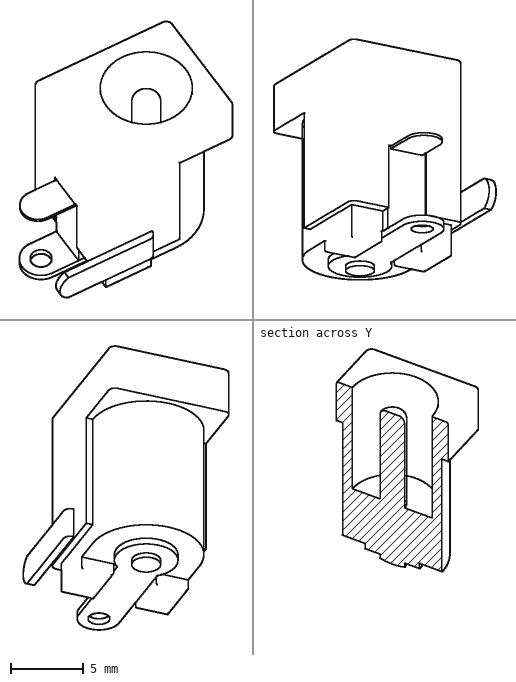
import cadquery as cq
import math


housing_width = 8.99
back_y = housing_width / 2
front_y = -6.5
top_z = 14.45
flange_z = top_z - 3.5
shell_z = top_z - 12.0
base_z = top_z - 13.5
barrel_radius = 4.0
corner_radius = 0.5
top_edge_radius = 0.2
socket_radius = 3.19
socket_depth = 9.0

foot_z = 0.1
foot_front_y = -5.67
foot_back_y = -2.02
foot_gap = 3.16
foot_edge_radius = 0.17

pin_radius = 1.0
pin_top_z = top_z - 1.0
pin_tip_radius = 0.5
rivet_rim_z = 0.15

tip_y = -10.0
plate_width = 3.02
plate_thickness = 0.46
plate_disk_radius = 2.2
plate_hole_radius = 0.75
strip_width = 2.99
strip_front_y = -6.37
strip_top_z = top_z - 7.4
tab_width = 2.52
tab_thickness = 0.2
blade_thickness = 0.57
blade_back_y = -2.23
blade_bottom_z = shell_z + 0.16
blade_height = 2.22
blade_tip_length = 0.7
blade_bend_radius = 0.51


def block(x_min, x_max, y_min, y_max, z_min, z_max):
    """Box given by its limits along each axis."""
    size = (x_max - x_min, y_max - y_min, z_max - z_min)
    return cq.Workplane("XY").box(*size, centered=False).translate((x_min, y_min, z_min))


def centered_block(width, y_min, y_max, z_min, z_max):
    """Box placed symmetrically about X = 0."""
    return block(-width / 2, width / 2, y_min, y_max, z_min, z_max)


def cylinder(radius, z_min, z_max):
    """Upright cylinder on the jack axis."""
    return cq.Workplane("XY").workplane(offset=z_min).circle(radius).extrude(z_max - z_min)


def round_ended_tongue(width, y_start, z_min, thickness):
    """Flat tongue running forward to a half-round tip."""
    half = width / 2
    return (
        cq.Workplane("XY")
        .workplane(offset=z_min)
        .moveTo(-half, y_start)
        .lineTo(-half, tip_y + half)
        .threePointArc((0, tip_y), (half, tip_y + half))
        .lineTo(half, y_start)
        .close()
        .extrude(thickness)
    )


def make_housing():
    cap = centered_block(housing_width, front_y, back_y, flange_z, top_z)
    shell = centered_block(housing_width, front_y, 0, shell_z, flange_z)
    body = cap.edges("|Z").fillet(corner_radius).faces(">Z").edges().fillet(top_edge_radius)
    body = body.union(shell.edges("|Z and <Y").fillet(corner_radius))
    body = body.union(cylinder(barrel_radius, base_z, flange_z))
    body = body.union(centered_block(2 * barrel_radius, foot_front_y, 0, base_z, shell_z))
    socket = cylinder(socket_radius, top_z - socket_depth, top_z)
    strip_slot = centered_block(strip_width, front_y, strip_front_y, shell_z, strip_top_z)
    return body.cut(socket).cut(strip_slot)


def make_foot(side):
    inner_x = side * foot_gap / 2
    outer_x = side * barrel_radius
    x_min = min(inner_x, outer_x)
    x_max = max(inner_x, outer_x)
    foot = block(x_min, x_max, foot_front_y, foot_back_y, foot_z, base_z)
    return foot.faces("<Z").edges().fillet(foot_edge_radius)


def make_pin():
    pin = cylinder(pin_radius, top_z - socket_depth, pin_top_z)
    return pin.faces(">Z").edges().fillet(pin_tip_radius)


def make_rivet():
    """Short shank closed by a shallow spherical dome."""
    dome_radius = (pin_radius**2 + rivet_rim_z**2) / (2 * rivet_rim_z)
    middle_x = pin_radius / 2
    middle_z = dome_radius - math.sqrt(dome_radius**2 - middle_x**2)
    return (
        cq.Workplane("XZ")
        .lineTo(0, base_z)
        .lineTo(pin_radius, base_z)
        .lineTo(pin_radius, rivet_rim_z)
        .threePointArc((middle_x, middle_z), (0, 0))
        .close()
        .revolve(360, (0, 0, 0), (0, 1, 0))
    )


def make_bottom_terminal():
    plate_z = base_z - plate_thickness
    plate = round_ended_tongue(plate_width, 0, plate_z, plate_thickness)
    plate = plate.union(cylinder(plate_disk_radius, plate_z, base_z))
    hole = cylinder(plate_hole_radius, plate_z, base_z)
    return plate.cut(hole.translate((0, tip_y + plate_width / 2, 0)))


def make_front_terminal():
    strip = centered_block(strip_width, strip_front_y, foot_front_y, base_z, strip_top_z)
    tab = round_ended_tongue(tab_width, strip_front_y, strip_top_z - tab_thickness, tab_thickness)
    return strip.union(tab)


def make_side_blade():
    shoulder_y = tip_y + blade_tip_length
    blade_top_z = blade_bottom_z + blade_height
    inner_x = housing_width / 2
    blade = (
        cq.Workplane("YZ")
        .workplane(offset=inner_x)
        .moveTo(blade_back_y, blade_bottom_z)
        .lineTo(shoulder_y, blade_bottom_z)
        .threePointArc((tip_y, blade_bottom_z + blade_height / 2), (shoulder_y, blade_top_z))
        .lineTo(blade_back_y, blade_top_z)
        .close()
        .extrude(blade_thickness)
    )
    return blade.edges("|Z and >X and >Y").fillet(blade_bend_radius)


result = make_housing()
for feature in (
    make_foot(-1),
    make_foot(1),
    make_pin(),
    make_rivet(),
    make_bottom_terminal(),
    make_front_terminal(),
    make_side_blade(),
):
    result = result.union(feature)